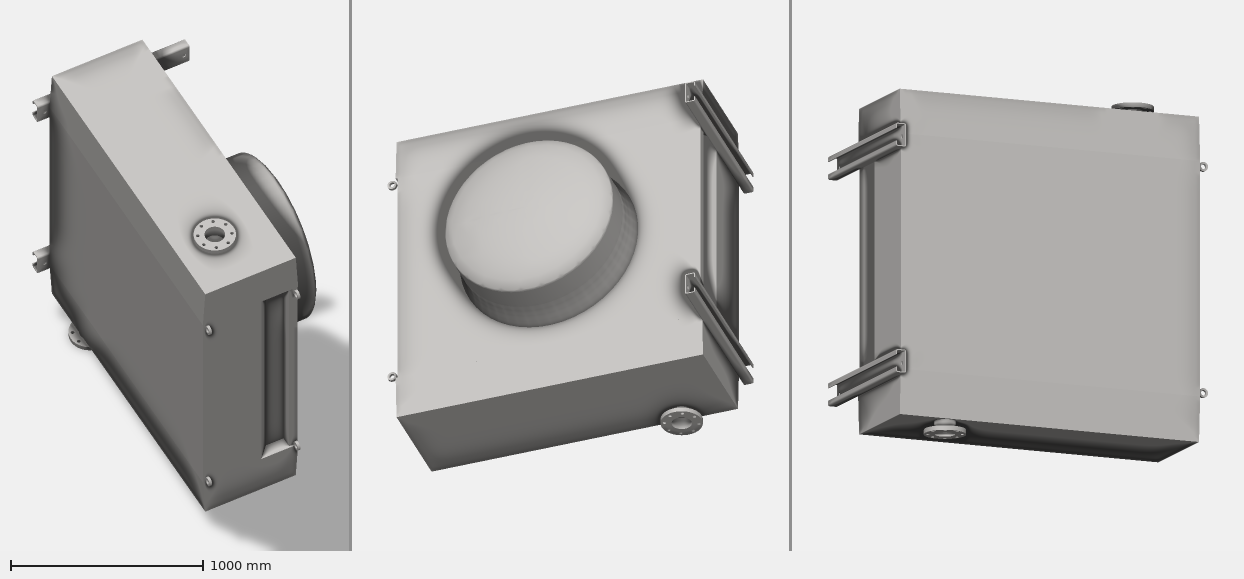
import cadquery as cq
import math


overall_height = 1870.0

core_width = 1695.0
core_depth = 561.0
core_height = 1253.0
side_x = core_width / 2
back_y = core_depth / 2
front_y = -back_y

channel_depth = 71.0
rear_flange_setback = 10.0
rear_flange_width = 49.0
channel_floor_width = 103.0
channel_slope_width = 65.0

cowl_radius = 464.0
cowl_flare = 30.0
cowl_flare_length = 153.0
cowl_straight_length = 142.0
cowl_dome_height = 90.0

tank_height = 240.0
tank_taper = 14.0
tank_end_z = core_height / 2 + tank_height

nozzle_height = overall_height / 2 - tank_end_z
nozzle_spacing_x = 1122.0
top_nozzle_y = -58.0
bottom_nozzle_y = -196.0
pipe_diameter = 115.0
bore_diameter = 107.0
flange_diameter = 220.0
flange_thickness = 25.0
bolt_count = 8
bolt_circle_diameter = 180.0
bolt_hole_diameter = 19.0

rail_height = 123.0
rail_depth = 56.0
rail_wall = 5.0
rail_lip = 28.0
rail_bend_radius = 10.0
rail_front_overhang = 70.0
rail_back_overhang = 264.0
rail_hole_diameter = 22.0
rail_front_hole_inset = 43.0
rail_back_hole_inset = 32.0
rail_front_y = front_y - rail_front_overhang
rail_back_y = back_y + rail_back_overhang

ring_diameter = 50.0
ring_hole_diameter = 28.0
ring_thickness = 15.0
ring_inset = 20.0

fitting_level = 602.0


def side_channel(side):
    """Cutter for the channel and flange setback on the +X (side = 1) or -X (side = -1) face."""
    rear = back_y - rear_flange_width
    floor_front = rear - channel_floor_width
    slope_front = floor_front - channel_slope_width
    outer = side * side_x
    flange = side * (side_x - rear_flange_setback)
    floor = side * (side_x - channel_depth)
    outline = [
        (outer, back_y),
        (flange, back_y),
        (flange, rear),
        (floor, rear),
        (floor, floor_front),
        (outer, slope_front),
    ]
    return (
        cq.Workplane("XY")
        .workplane(offset=-core_height / 2)
        .polyline(outline)
        .close()
        .extrude(core_height)
    )


def make_cowl():
    """Flared base, straight band and elliptical dome, revolved about the Y axis."""
    flare_radius = (cowl_flare**2 + cowl_flare_length**2) / (2 * cowl_flare)
    half_angle = math.asin(cowl_flare_length / flare_radius) / 2
    straight_y = back_y + cowl_flare_length
    dome_y = straight_y + cowl_straight_length
    flare_middle = (
        cowl_radius + flare_radius * (1 - math.cos(half_angle)),
        straight_y - flare_radius * math.sin(half_angle),
    )

    def dome_point(t):
        angle = t * math.pi / 2
        return (cowl_radius * math.cos(angle), dome_y + cowl_dome_height * math.sin(angle))

    return (
        cq.Workplane("XY")
        .moveTo(0, back_y)
        .lineTo(cowl_radius + cowl_flare, back_y)
        .threePointArc(flare_middle, (cowl_radius, straight_y))
        .lineTo(cowl_radius, dome_y)
        .parametricCurve(dome_point, makeWire=False)
        .close()
        .revolve(360, (0, 0), (0, 1))
    )


def make_core():
    """Core block with its two side channels and the fan cowl."""
    block = cq.Workplane("XY").box(core_width, core_depth, core_height)
    for side in (1, -1):
        block = block.cut(side_channel(side))
    return block.union(make_cowl())


def make_nozzle(x, y):
    """Upright pipe on the top tank, with a bolted flange at its upper end."""
    pipe = (
        cq.Workplane("XY", origin=(x, y, tank_end_z))
        .circle(pipe_diameter / 2)
        .extrude(nozzle_height)
    )
    flange = (
        cq.Workplane("XY", origin=(x, y, tank_end_z + nozzle_height - flange_thickness))
        .circle(flange_diameter / 2)
        .extrude(flange_thickness)
        .faces(">Z")
        .workplane(origin=(x, y, 0))
        .polarArray(bolt_circle_diameter / 2, 180 / bolt_count, 360, bolt_count)
        .hole(bolt_hole_diameter)
    )
    bore = (
        cq.Workplane("XY", origin=(x, y, tank_end_z))
        .circle(bore_diameter / 2)
        .extrude(nozzle_height)
    )
    return pipe.union(flange).cut(bore)


def make_tank(nozzle_x, nozzle_y):
    """Top tank: tapered front and back, straight ends, nozzle on top."""
    base_z = core_height / 2
    outline = [
        (front_y, base_z),
        (back_y, base_z),
        (back_y - tank_taper, tank_end_z),
        (front_y + tank_taper, tank_end_z),
    ]
    shell = cq.Workplane("YZ").polyline(outline).close().extrude(side_x, both=True)
    return shell.union(make_nozzle(nozzle_x, nozzle_y))


def make_rail(z):
    """Lipped channel along Y that opens towards -X, with a hole near each end of its web."""
    length = rail_back_y - rail_front_y
    centre = (-side_x - rail_depth / 2, (rail_front_y + rail_back_y) / 2, z)
    inner_height = rail_height - 2 * rail_wall
    inner_depth = rail_depth - 2 * rail_wall
    bar = (
        cq.Workplane("XY")
        .box(rail_depth, length, rail_height)
        .edges("|Y")
        .fillet(rail_bend_radius)
    )
    hollow = (
        cq.Workplane("XY")
        .box(inner_depth, length, inner_height)
        .edges("|Y")
        .fillet(rail_bend_radius - rail_wall)
    )
    mouth = cq.Workplane("XY").box(rail_depth, length, rail_height - 2 * rail_lip)
    rail = bar.cut(hollow).cut(mouth.translate((-rail_wall, 0, 0)))
    hole_places = [
        (-length / 2 + rail_front_hole_inset, 0),
        (length / 2 - rail_back_hole_inset, 0),
    ]
    holes = (
        cq.Workplane("YZ")
        .pushPoints(hole_places)
        .circle(rail_hole_diameter / 2)
        .extrude(rail_depth)
    )
    return rail.cut(holes).translate(centre)


def make_ring(y, z):
    """Flat lifting ring with its axis along Y, touching the +X side."""
    return (
        cq.Workplane("XZ", origin=(side_x + ring_diameter / 2, y, z))
        .circle(ring_diameter / 2)
        .circle(ring_hole_diameter / 2)
        .extrude(ring_thickness / 2, both=True)
    )


core = make_core()
top_tank = make_tank(nozzle_spacing_x / 2, top_nozzle_y)
bottom_tank = make_tank(-nozzle_spacing_x / 2, bottom_nozzle_y).mirror("XY")

rails = []
rings = []
for level in (fitting_level, -fitting_level):
    rails.append(make_rail(level).val())
    for ring_y in (front_y + ring_inset, back_y - ring_inset):
        rings.append(make_ring(ring_y, level).val())

result = cq.Compound.makeCompound([core.val(), top_tank.val(), bottom_tank.val(), *rails, *rings])